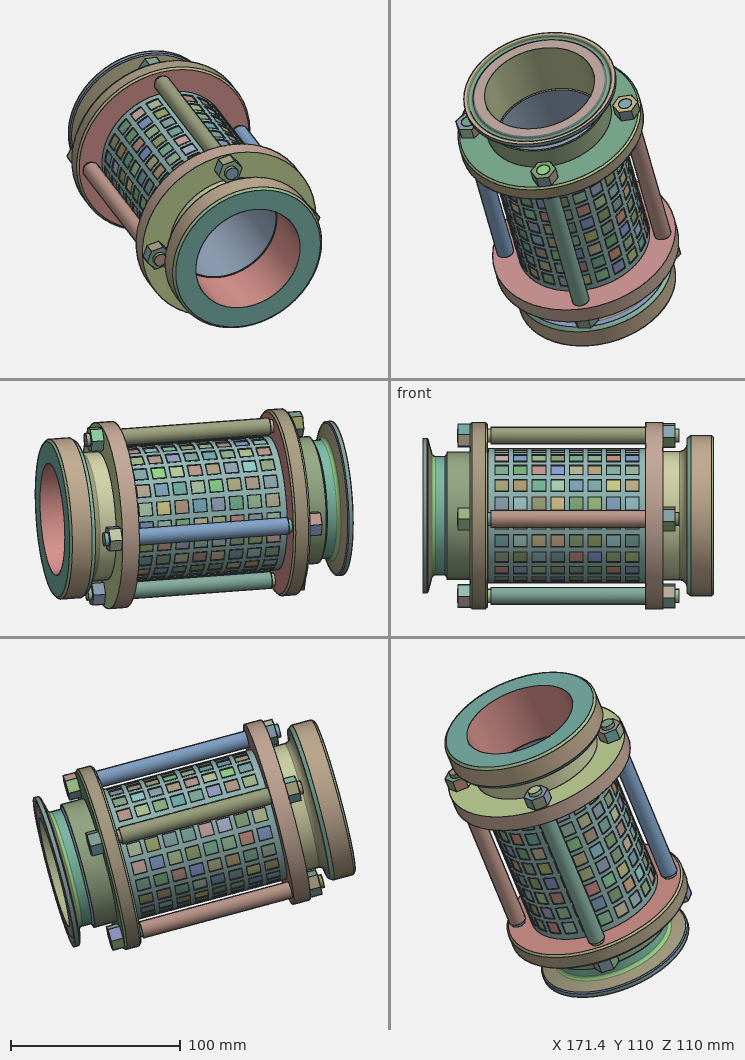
import cadquery as cq
import math

length = 171.4
x_left = -length / 2
x_right = length / 2
bore_radius = 33.0

ferrule_radius = 45.6
ferrule_rim_thickness = 2.5
ferrule_corner = 0.9
ferrule_slope_angle = math.radians(15.0)
neck_radius = 35.0
neck_fillet = 2.2
neck_fillet_end = 7.5
boss_start = 14.4
boss_chamfer_length = 1.2
boss_chamfer_height = 1.5
left_boss_radius = 37.5
groove_radius = 41.5
groove_half_width = 1.4
groove_lip_round = 0.7
groove_depth = 1.7

flange_radius = 55.0
flange_thickness = 10.1
flange_chamfer = 1.2
left_flange_x = -57.8
left_flange_end = left_flange_x + flange_thickness
right_flange_x = 45.6
right_flange_end = right_flange_x + flange_thickness

right_boss_radius = 37.9
collar_radius = 47.3
flare_start = 65.5
flare_radius = 4.5
collar_front_chamfer_length = 2.4
collar_front_chamfer_height = 1.7
collar_end_chamfer = 1.4

tube_radius = 39.6
tube_bore_radius = 32.4
tube_gap = 0.5
tube_start = left_flange_end + tube_gap
tube_end = right_flange_x
spigot_radius = 37.4
spigot_length = 3.5
window_depth = 0.7
window_length = 8.0
window_width = 7.7
window_pitch = 11.0
window_columns = 8
window_rows = 22
window_row_angle = 79.4

rod_count = 4
rod_angle_offset = 2.4
bolt_circle_radius = 47.3
stud_radius = 4.0
stud_start_protrusion = 0.2
stud_end_protrusion = 2.4
spacer_radius = 5.0
spacer_gap = 2.0
spacer_start = left_flange_end + spacer_gap
nut_across_flats = 13.0
nut_corner_diameter = nut_across_flats / math.cos(math.pi / 6)
nut_height = 7.2
left_nut_turns = [13.3, -4.0, 0.0, 3.0]
right_nut_turn = 10.0


def revolve_about_x(profile):
    """Turn a closed profile, drawn as (x, radius), about the X axis."""
    return profile.close().revolve(360, (0, 0, 0), (1, 0, 0))


def cylinder(x_from, x_to, radius):
    """Cylinder along the X axis."""
    return cq.Workplane("YZ", origin=(x_from, 0, 0)).circle(radius).extrude(x_to - x_from)


def ferrule_groove():
    """Gasket groove in the ferrule face: an arc bottom between two rounded lips."""
    lip_offset = groove_lip_round * math.sin(math.pi / 4)
    lip_depth = groove_lip_round - lip_offset
    mouth_half_width = groove_half_width + groove_lip_round
    x_lip = x_left + groove_lip_round
    return revolve_about_x(
        cq.Workplane("XY")
        .moveTo(x_left, groove_radius - mouth_half_width)
        .threePointArc(
            (x_left + lip_depth, groove_radius - mouth_half_width + lip_offset),
            (x_lip, groove_radius - groove_half_width),
        )
        .threePointArc(
            (x_left + groove_depth, groove_radius),
            (x_lip, groove_radius + groove_half_width),
        )
        .threePointArc(
            (x_left + lip_depth, groove_radius + mouth_half_width - lip_offset),
            (x_left, groove_radius + mouth_half_width),
        )
    )


def left_fitting():
    """Clamp ferrule with a sloped back, neck, boss and chamfered flange."""
    fillet_x = x_left + neck_fillet_end
    fillet_centre_radius = neck_radius + neck_fillet

    def on_fillet(angle):
        """Point of the neck fillet whose tangent leans by this angle from the radial direction."""
        return (
            fillet_x - neck_fillet * math.cos(angle),
            fillet_centre_radius - neck_fillet * math.sin(angle),
        )

    slope_foot = on_fillet(ferrule_slope_angle)
    fillet_middle = on_fillet((ferrule_slope_angle + math.pi / 2) / 2)
    slope_top_radius = ferrule_radius - ferrule_corner
    slope_run = (slope_top_radius - slope_foot[1]) * math.tan(ferrule_slope_angle)
    x_boss = x_left + boss_start
    body = revolve_about_x(
        cq.Workplane("XY")
        .moveTo(x_left, bore_radius)
        .lineTo(x_left, ferrule_radius)
        .lineTo(x_left + ferrule_rim_thickness, ferrule_radius)
        .lineTo(slope_foot[0] - slope_run, slope_top_radius)
        .lineTo(*slope_foot)
        .threePointArc(fillet_middle, (fillet_x, neck_radius))
        .lineTo(x_boss - boss_chamfer_length, neck_radius)
        .lineTo(x_boss, neck_radius + boss_chamfer_height)
        .lineTo(x_boss, left_boss_radius)
        .lineTo(left_flange_x, left_boss_radius)
        .lineTo(left_flange_x, flange_radius - flange_chamfer)
        .lineTo(left_flange_x + flange_chamfer, flange_radius)
        .lineTo(left_flange_end - flange_chamfer, flange_radius)
        .lineTo(left_flange_end, flange_radius - flange_chamfer)
        .lineTo(left_flange_end, bore_radius)
    )
    return body.cut(ferrule_groove())


def right_fitting():
    """Flange, boss and a chamfered collar behind a flared neck."""
    x_flare = flare_start + flare_radius
    x_body = x_flare + collar_front_chamfer_length
    arc_offset = flare_radius * math.sin(math.pi / 4)
    return revolve_about_x(
        cq.Workplane("XY")
        .moveTo(right_flange_x, bore_radius)
        .lineTo(right_flange_x, flange_radius)
        .lineTo(right_flange_end, flange_radius)
        .lineTo(right_flange_end, right_boss_radius)
        .lineTo(flare_start, right_boss_radius)
        .threePointArc(
            (flare_start + arc_offset, right_boss_radius + flare_radius - arc_offset),
            (x_flare, right_boss_radius + flare_radius),
        )
        .lineTo(x_flare, collar_radius - collar_front_chamfer_height)
        .lineTo(x_body, collar_radius)
        .lineTo(x_right - collar_end_chamfer, collar_radius)
        .lineTo(x_right, collar_radius - collar_end_chamfer)
        .lineTo(x_right, bore_radius)
    )


def nut(x_from, x_to, turn):
    """Hexagon along X, turned about its own axis."""
    return (
        cq.Workplane("YZ", origin=(x_from, 0, 0))
        .polygon(6, nut_corner_diameter)
        .extrude(x_to - x_from)
        .rotate((0, 0, 0), (1, 0, 0), turn)
    )


def tie_rod(index):
    """Stud with a thicker spacer between the flanges and a nut outside each flange."""
    angle = math.radians(rod_angle_offset + index * 360 / rod_count)
    left_nut_start = left_flange_x - nut_height
    right_nut_end = right_flange_end + nut_height
    rod = (
        cylinder(left_nut_start - stud_start_protrusion, right_nut_end + stud_end_protrusion, stud_radius)
        .union(cylinder(spacer_start, right_flange_x, spacer_radius))
        .union(nut(left_nut_start, left_flange_x, left_nut_turns[index]))
        .union(nut(right_flange_end, right_nut_end, right_nut_turn))
    )
    return rod.translate((0, bolt_circle_radius * math.cos(angle), bolt_circle_radius * math.sin(angle)))


def make_housing():
    """Both end fittings with the tube seats, joined into one body by the tie rods."""
    left_seat = cylinder(left_flange_end - spigot_length, left_flange_end, spigot_radius)
    right_seat = cylinder(right_flange_x, right_flange_x + spigot_length, spigot_radius)
    housing = left_fitting().cut(left_seat)
    right_end = right_fitting().cut(right_seat)
    for index in range(rod_count):
        housing = housing.union(tie_rod(index))
    return housing.union(right_end)


def make_sight_tube():
    """A tube with a spigot at each end and a grid of shallow windows around it."""
    tube = (
        cylinder(tube_start, tube_end, tube_radius)
        .union(cylinder(tube_start - spigot_length, tube_end + spigot_length, spigot_radius))
        .cut(cylinder(x_left, x_right, tube_bore_radius))
    )
    first_x = (tube_start + tube_end - (window_columns - 1) * window_pitch) / 2
    centres = [(first_x + column * window_pitch, 0) for column in range(window_columns)]
    cutters = (
        cq.Workplane("XY")
        .pushPoints(centres)
        .rect(window_length, window_width)
        .extrude(flange_radius)
        .cut(cylinder(x_left, x_right, tube_radius - window_depth))
    )
    for row in range(window_rows):
        turn = window_row_angle + row * 360 / window_rows
        tube = tube.cut(cutters.rotate((0, 0, 0), (1, 0, 0), turn))
    return tube


housing = make_housing()
sight_tube = make_sight_tube()

result = cq.Compound.makeCompound([housing.val(), sight_tube.val()])